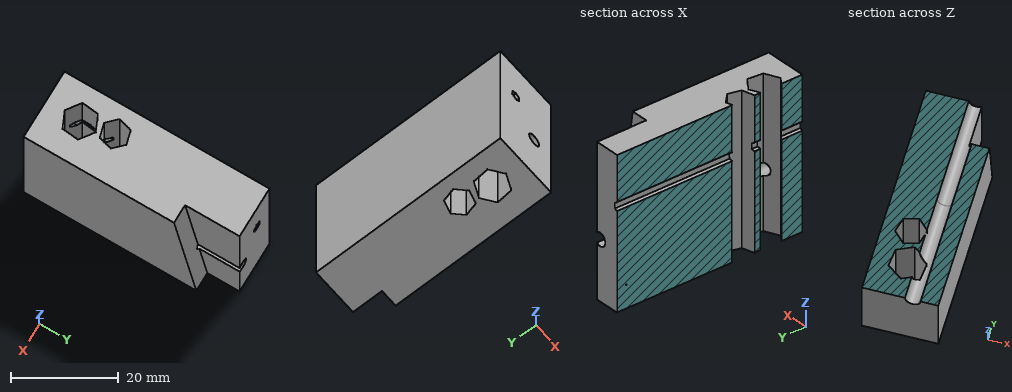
import cadquery as cq

width = 14.85
length = 44.45
height = 34.72

cut_width = 4.0
cut_length_top = 11.83
cut_length_bottom = 7.0

small_vertical_hex = ((-1.82, -7.85), 3.0, 15.3)
large_vertical_hex = ((-0.6, -14.7), 3.6, 24.3)

cross_hex_position = (-2.9, 5.95)
cross_hex_radius = 1.15
cross_hex_angle = 26
round_hole_position = (2.45, -3.7)
round_hole_diameter = 2.95


def hex_prism(plane, position, radius, angle, depth):
    """Hexagonal cutter centred on the plane and extending equally to both sides."""
    return (
        cq.Workplane(plane)
        .center(*position)
        .transformed(rotate=(0, 0, angle))
        .polygon(6, 2 * radius)
        .extrude(depth / 2, both=True)
    )


def corner_cut():
    """Cutter whose inner end slopes from top to bottom and whose side is vertical."""
    back = length / 2
    top = height / 2
    outline = [
        (back, top),
        (back - cut_length_top, top),
        (back - cut_length_bottom, -top),
        (back, -top),
    ]
    return (
        cq.Workplane("YZ", origin=(width / 2 - cut_width, 0, 0))
        .polyline(outline)
        .close()
        .extrude(cut_width)
    )


result = cq.Workplane("XY").box(width, length, height).cut(corner_cut())

for position, radius, angle in (small_vertical_hex, large_vertical_hex):
    result = result.cut(hex_prism("XY", position, radius, angle, height))

result = result.cut(
    hex_prism("XZ", cross_hex_position, cross_hex_radius, cross_hex_angle, length)
)
round_hole = (
    cq.Workplane("XZ")
    .center(*round_hole_position)
    .circle(round_hole_diameter / 2)
    .extrude(length / 2, both=True)
)
result = result.cut(round_hole)